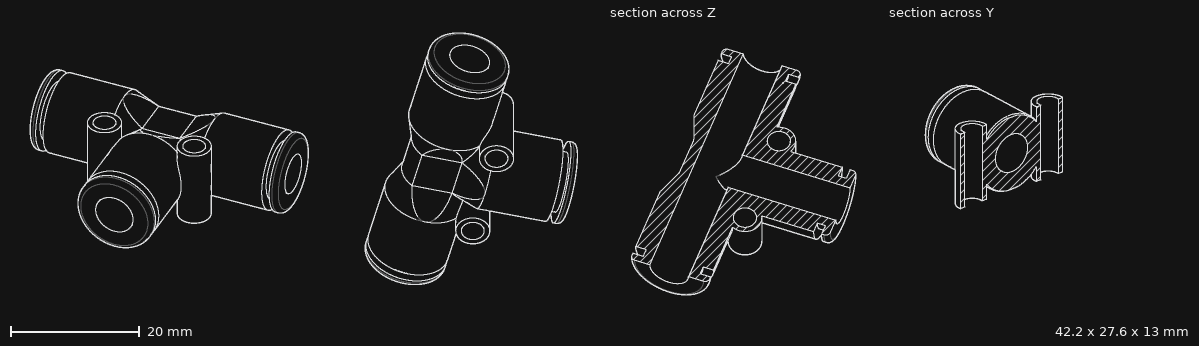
import cadquery as cq
import math

arm_length = 21.1
body_radius = 12.95 / 2
bore_radius = 6.35 / 2

collar_thickness = 1.22
collar_rounding = 0.75
groove_radius = 9.53 / 2
groove_width = 1.25

neck_radius = 4.9
neck_half_length = 3.2
shoulder = 7.65

post_radius = 2.65
post_hole_radius = 1.75

collar_start = arm_length - collar_thickness
body_end = collar_start - groove_width
flat_height = math.sqrt(neck_radius**2 - neck_half_length**2)


def turned_arm():
    """Solid arm along +X, from the tee centre to the collar face."""
    return (
        cq.Workplane("XY")
        .lineTo(0, neck_radius)
        .lineTo(neck_half_length, neck_radius)
        .lineTo(shoulder, body_radius)
        .lineTo(body_end, body_radius)
        .lineTo(body_end, groove_radius)
        .lineTo(collar_start, groove_radius)
        .lineTo(collar_start, body_radius)
        .lineTo(arm_length - collar_rounding, body_radius)
        .radiusArc((arm_length, body_radius - collar_rounding), collar_rounding)
        .lineTo(arm_length, 0)
        .close()
        .revolve(360, (0, 0, 0), (1, 0, 0))
    )


def flattening_cutter():
    """Block above the neck whose underside is the flat and its ramp up to the body."""
    return (
        cq.Workplane("XZ")
        .moveTo(0, flat_height)
        .lineTo(neck_half_length, flat_height)
        .lineTo(shoulder, body_radius)
        .lineTo(0, body_radius)
        .close()
        .extrude(body_radius, both=True)
    )


def flattened_arm():
    cutter = flattening_cutter()
    return turned_arm().cut(cutter).cut(cutter.mirror("XY"))


def upright_cylinder(x, y, radius):
    """Cylinder along Z spanning the full height of the body."""
    return cq.Workplane("XY").center(x, y).circle(radius).extrude(body_radius, both=True)


arm_angles = (0, 180, 270)
arm = flattened_arm()
bore = cq.Workplane("YZ").circle(bore_radius).extrude(arm_length)
result = arm
for angle in arm_angles[1:]:
    result = result.union(arm.rotate((0, 0, 0), (0, 0, 1), angle))

for post_x in (-shoulder, shoulder):
    result = result.union(upright_cylinder(post_x, -shoulder, post_radius))
for post_x in (-shoulder, shoulder):
    result = result.cut(upright_cylinder(post_x, -shoulder, post_hole_radius))

for angle in arm_angles:
    result = result.cut(bore.rotate((0, 0, 0), (0, 0, 1), angle))